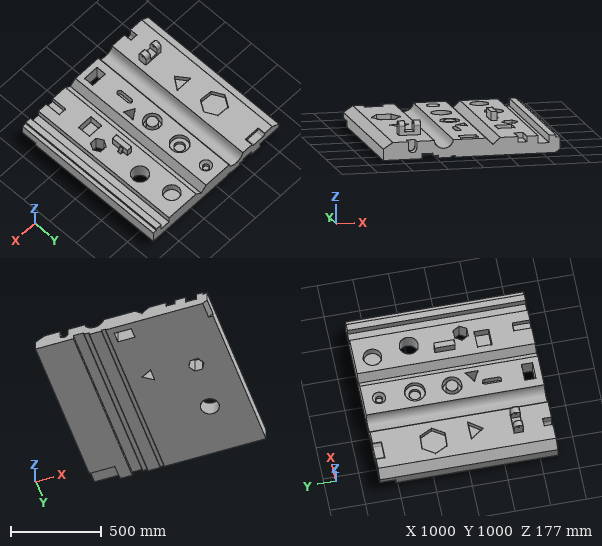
import cadquery as cq
import math

side = 1000.0
plate_top = 100.0
overall_height = 177.0

bevel_width = 54.0
bevel_bottom = 65.0
round_groove_x = 342.0
round_groove_half_width = 54.0
round_groove_bottom = 54.0
vee_x = 620.0
vee_half_width = 40.0
vee_bottom = 63.0
channel_left = 874.0
channel_right = 937.0
channel_floor = 58.0
ledge_left = 975.0
ledge_top = 87.0

under_slot_left = 221.0
under_slot_right = 281.0
under_slot_roof = 28.0
under_step_right = 312.0
under_step_roof = 15.0
thin_groove_left = 384.0
thin_groove_right = 407.0
thin_groove_roof = 8.0

round_hole_center = (780.0, 687.0)
round_hole_radius = 52.0
hex_hole_center = (803.0, 391.0)
hex_hole_radius = 44.0
triangle_hole_corners = [(493.0, 374.0), (552.0, 415.0), (553.0, 343.0)]
rectangle_hole_x = (446.0, 545.0)
rectangle_hole_y = (38.0, 100.0)

round_pocket_center = (746.0, 897.0)
round_pocket_radius = 51.0
round_pocket_depth = 50.0
square_pocket_x = (700.0, 797.0)
square_pocket_y = (235.0, 317.0)
square_pocket_depth = 55.0
hex_pocket_center = (166.0, 666.0)
hex_pocket_radius = 80.0
hex_pocket_turn = -3.0
hex_pocket_depth = 29.0
triangle_pocket_corners = [(139.0, 458.0), (246.0, 460.0), (192.0, 385.0)]
triangle_pocket_depth = 31.0
slot_center = (477.0, 279.0)
slot_length = 105.0
slot_width = 30.0
slot_depth = 40.0

column_x = 488.0
countersink_y = 910.0
countersink_radius = 36.0
countersink_depth = 19.0
countersunk_hole_radius = 20.0
countersunk_hole_depth = 40.0
counterbore_y = 709.0
counterbore_radius = 57.0
counterbore_depth = 31.0
counterbored_hole_radius = 32.0
counterbored_hole_depth = 51.0
ring_y = 501.0
ring_outer_radius = 54.0
ring_inner_radius = 34.0
ring_depth = 58.0

square_notch_x = (761.0, 811.0)
square_notch_length = 100.0
square_notch_depth = 31.0
round_notch_left = 143.0
round_notch_right = 189.0
round_notch_bottom = 38.0
round_notch_length = 50.0
back_notch_x = (114.0, 214.0)
back_notch_length = 50.0
back_notch_depth = 19.0
back_notch_fillet = 13.0

corner_step_length = 150.0
corner_step_width = 89.0
corner_step_height = 33.0
corner_bevel_width = 26.0
corner_bevel_height = 20.0
corner_bevel_length = 100.0

clevis_x = (128.0, 250.0)
clevis_gap_x = (161.0, 213.0)
clevis_gap_floor = 120.0
clevis_y = 196.0
clevis_thickness = 52.0
clevis_pin_radius = 4.0
clevis_pin_z = 163.0

rib_x = (709.0, 742.0)
rib_y = (440.0, 554.0)
rib_top = 151.0
gusset_right = 761.0
gusset_top = 135.0
gusset_y = (498.0, 521.0)


def box(x_range, y_range, z_range):
    """Box spanning the given X, Y and Z ranges."""
    corner = (x_range[0], y_range[0], z_range[0])
    sizes = [end - start for start, end in (x_range, y_range, z_range)]
    return cq.Workplane("XY").box(*sizes, centered=False).translate(corner)


def pocket_floor(depth):
    """Workplane lying the given depth below the top face."""
    return cq.Workplane("XY").workplane(offset=plate_top - depth)


def round_cutter(center, radius, depth):
    return pocket_floor(depth).center(*center).circle(radius).extrude(depth)


def polygon_cutter(corners, depth):
    return pocket_floor(depth).polyline(corners).close().extrude(depth)


def rectangle_cutter(x_range, y_range, depth):
    return box(x_range, y_range, (plate_top - depth, plate_top))


def hexagon_corners(center, radius, turn=0):
    """Corners of a regular hexagon, turned by an angle in degrees."""
    angles = [math.radians(turn + 60 * corner) for corner in range(6)]
    return [(center[0] + radius * math.cos(a), center[1] + radius * math.sin(a)) for a in angles]


def plate():
    """Plate cross-section in XZ, swept from the front to the back."""
    profile = (
        cq.Workplane("XZ")
        .moveTo(0, 0)
        .lineTo(0, bevel_bottom)
        .lineTo(bevel_width, plate_top)
        .lineTo(round_groove_x - round_groove_half_width, plate_top)
        .threePointArc(
            (round_groove_x, round_groove_bottom),
            (round_groove_x + round_groove_half_width, plate_top),
        )
        .lineTo(vee_x - vee_half_width, plate_top)
        .lineTo(vee_x, vee_bottom)
        .lineTo(vee_x + vee_half_width, plate_top)
        .lineTo(channel_left, plate_top)
        .lineTo(channel_left, channel_floor)
        .lineTo(channel_right, channel_floor)
        .lineTo(channel_right, plate_top)
        .lineTo(ledge_left, plate_top)
        .lineTo(ledge_left, ledge_top)
        .lineTo(side, ledge_top)
        .lineTo(side, 0)
        .lineTo(thin_groove_right, 0)
        .lineTo(thin_groove_right, thin_groove_roof)
        .lineTo(thin_groove_left, thin_groove_roof)
        .lineTo(thin_groove_left, 0)
        .lineTo(under_step_right, 0)
        .lineTo(under_step_right, under_step_roof)
        .lineTo(under_slot_right, under_step_roof)
        .lineTo(under_slot_right, under_slot_roof)
        .lineTo(under_slot_left, under_slot_roof)
        .lineTo(under_slot_left, 0)
        .close()
    )
    return profile.extrude(-side)


def through_holes():
    hexagon = hexagon_corners(hex_hole_center, hex_hole_radius)
    return [
        round_cutter(round_hole_center, round_hole_radius, plate_top),
        polygon_cutter(hexagon, plate_top),
        polygon_cutter(triangle_hole_corners, plate_top),
        rectangle_cutter(rectangle_hole_x, rectangle_hole_y, plate_top),
    ]


def blind_pockets():
    hexagon = hexagon_corners(hex_pocket_center, hex_pocket_radius, hex_pocket_turn)
    slot = pocket_floor(slot_depth).center(*slot_center).slot2D(slot_length, slot_width, 90)
    return [
        round_cutter(round_pocket_center, round_pocket_radius, round_pocket_depth),
        rectangle_cutter(square_pocket_x, square_pocket_y, square_pocket_depth),
        polygon_cutter(hexagon, hex_pocket_depth),
        polygon_cutter(triangle_pocket_corners, triangle_pocket_depth),
        slot.extrude(slot_depth),
    ]


def countersunk_hole():
    """Cone and cylinder revolved about the hole's vertical axis."""
    profile = [
        (0, 0),
        (0, -countersunk_hole_depth),
        (countersunk_hole_radius, -countersunk_hole_depth),
        (countersunk_hole_radius, -countersink_depth),
        (countersink_radius, 0),
    ]
    cutter = cq.Workplane("XZ").polyline(profile).close().revolve(360, (0, 0), (0, 1))
    return cutter.translate((column_x, countersink_y, plate_top))


def counterbored_hole():
    center = (column_x, counterbore_y)
    bore = round_cutter(center, counterbore_radius, counterbore_depth)
    hole = round_cutter(center, counterbored_hole_radius, counterbored_hole_depth)
    return bore.union(hole)


def ring_groove():
    center = (column_x, ring_y)
    outer = round_cutter(center, ring_outer_radius, ring_depth)
    return outer.cut(round_cutter(center, ring_inner_radius, ring_depth))


def round_bottom_notch():
    """Notch in the front edge with a semicircular bottom."""
    radius = (round_notch_right - round_notch_left) / 2
    arc_z = round_notch_bottom + radius
    profile = (
        cq.Workplane("XZ")
        .moveTo(round_notch_left, plate_top)
        .lineTo(round_notch_left, arc_z)
        .threePointArc((round_notch_left + radius, round_notch_bottom), (round_notch_right, arc_z))
        .lineTo(round_notch_right, plate_top)
        .close()
    )
    return profile.extrude(-round_notch_length)


def back_notch():
    """Notch in the back edge with rounded lower corners."""
    notch = rectangle_cutter(back_notch_x, (side - back_notch_length, side), back_notch_depth)
    return notch.edges("|Y and <Z").fillet(back_notch_fillet)


def edge_notches():
    square_notch = rectangle_cutter(square_notch_x, (0, square_notch_length), square_notch_depth)
    return [square_notch, round_bottom_notch(), back_notch()]


def corner_cuts():
    """Step under the back left corner and bevel under the front right corner."""
    step = box((0, corner_step_length), (side - corner_step_width, side), (0, corner_step_height))
    triangle = [(side - corner_bevel_width, 0), (side, 0), (side, corner_bevel_height)]
    bevel = cq.Workplane("XZ").polyline(triangle).close().extrude(-corner_bevel_length)
    return [step, bevel]


def clevis():
    """Two round-topped lugs on a common base, with a pin hole along X."""
    radius = clevis_thickness / 2
    front = clevis_y - radius
    back = clevis_y + radius
    arc_z = overall_height - radius
    length = clevis_x[1] - clevis_x[0]
    start = cq.Workplane("YZ", origin=(clevis_x[0], 0, 0))
    body = (
        start.moveTo(front, plate_top)
        .lineTo(front, arc_z)
        .threePointArc((clevis_y, overall_height), (back, arc_z))
        .lineTo(back, plate_top)
        .close()
        .extrude(length)
    )
    gap = box(clevis_gap_x, (front, back), (clevis_gap_floor, overall_height))
    pin_hole = start.center(clevis_y, clevis_pin_z).circle(clevis_pin_radius).extrude(length)
    return body.cut(gap).cut(pin_hole)


def gusseted_rib():
    rib = box(rib_x, rib_y, (plate_top, rib_top))
    triangle = [(rib_x[1], plate_top), (gusset_right, plate_top), (rib_x[1], gusset_top)]
    gusset = (
        cq.Workplane("XZ", origin=(0, gusset_y[0], 0))
        .polyline(triangle)
        .close()
        .extrude(gusset_y[0] - gusset_y[1])
    )
    return rib.union(gusset)


cutters = through_holes() + blind_pockets() + edge_notches() + corner_cuts()
cutters += [countersunk_hole(), counterbored_hole(), ring_groove()]

result = plate()
for cutter in cutters:
    result = result.cut(cutter)
result = result.union(clevis()).union(gusseted_rib())